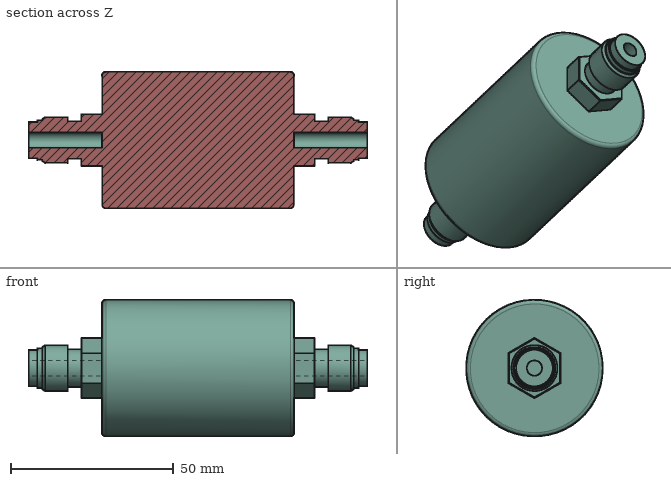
import cadquery as cq
import math

overall_length = 104.4
half_length = overall_length / 2

body_diameter = 42.2
body_length = 59.3
body_edge_radius = 1.3

hex_across_flats = 16.1
hex_length = 6.4
hex_edge_chamfer = 0.2

tip_radius = 5.6
tip_length = 2.7
step_radius = 6.2
step_length = 1.5
collar_radius = 7.1
collar_lead_radius = 6.5
collar_lead_length = 0.9
collar_length = 7.0
neck_radius = 5.8

bore_diameter = 4.7

body_end = body_length / 2
fitting_length = half_length - body_end


def make_body():
    body = (
        cq.Workplane("YZ", origin=(-body_end, 0, 0))
        .circle(body_diameter / 2)
        .extrude(body_length)
    )
    return body.faces("<X or >X").edges().fillet(body_edge_radius)


def make_hex():
    """Hexagon with a fine chamfer around its outer face."""
    across_corners = hex_across_flats / math.cos(math.radians(30))
    return (
        cq.Workplane("YZ", origin=(body_end, 0, 0))
        .transformed(rotate=(0, 0, 90))
        .polygon(6, across_corners)
        .extrude(hex_length)
        .faces(">X")
        .chamfer(hex_edge_chamfer)
    )


def make_spigot():
    """Turned profile out to the tip; the outer end of the collar is a short cone."""
    step_outer = half_length - tip_length
    collar_outer = step_outer - step_length
    collar_full = collar_outer - collar_lead_length
    collar_inner = collar_full - collar_length
    return (
        cq.Workplane("XY")
        .moveTo(body_end, 0)
        .lineTo(body_end, neck_radius)
        .lineTo(collar_inner, neck_radius)
        .lineTo(collar_inner, collar_radius)
        .lineTo(collar_full, collar_radius)
        .lineTo(collar_outer, collar_lead_radius)
        .lineTo(collar_outer, step_radius)
        .lineTo(step_outer, step_radius)
        .lineTo(step_outer, tip_radius)
        .lineTo(half_length, tip_radius)
        .lineTo(half_length, 0)
        .close()
        .revolve(360, (0, 0, 0), (1, 0, 0))
    )


def make_fitting():
    bore = (
        cq.Workplane("YZ", origin=(body_end, 0, 0))
        .circle(bore_diameter / 2)
        .extrude(fitting_length)
    )
    return make_hex().union(make_spigot()).cut(bore)


fitting = make_fitting()
result = make_body().union(fitting).union(fitting.mirror("YZ"))